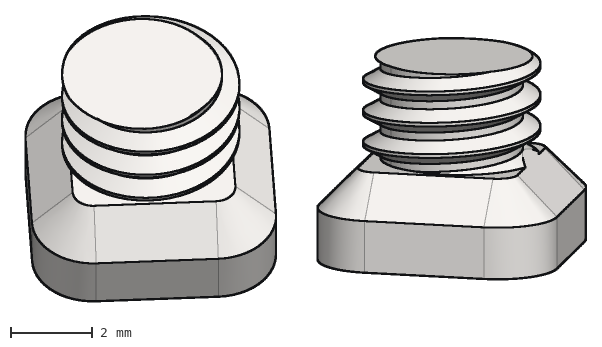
import cadquery as cq
import math

base_width = 7.23
corner_radius = 1.5
wall_height = 1.3
chamfer = 1.0
top_z = wall_height + chamfer
half_side = (base_width / 2 - corner_radius) / math.sqrt(2) + corner_radius
top_half_side = half_side - chamfer

total_height = 4.8
core_radius = 3.5 / 2
crest_radius = 2.175
pitch = 0.79
crest_width = 0.095
flank_angle = math.radians(30)
root_overlap = 0.07
thread_start_z = 1.945
turns = math.ceil((total_height + pitch / 2 - thread_start_z) / pitch)

trim_height = 0.245
trim_length = 2.1
trim_reach = 0.72


def make_base():
    return (
        cq.Workplane("XY")
        .rect(2 * half_side, 2 * half_side)
        .extrude(top_z)
        .edges("|Z")
        .fillet(corner_radius)
        .faces(">Z")
        .chamfer(chamfer)
        .rotate((0, 0, 0), (0, 0, 1), 45)
    )


def make_ridge():
    inner_radius = core_radius - root_overlap
    crest_half = crest_width / 2
    root_half = crest_half + (crest_radius - inner_radius) * math.tan(flank_angle)
    path = cq.Wire.makeHelix(pitch, turns * pitch, core_radius)
    return (
        cq.Workplane("XZ")
        .moveTo(inner_radius, -root_half)
        .lineTo(crest_radius, -crest_half)
        .lineTo(crest_radius, crest_half)
        .lineTo(inner_radius, root_half)
        .close()
        .sweep(cq.Workplane(path), isFrenet=True)
        .translate((0, 0, thread_start_z))
    )


def make_trim():
    outer = top_half_side + trim_reach
    return (
        cq.Workplane("YZ")
        .moveTo(outer, top_z - trim_reach)
        .lineTo(outer, top_z + trim_height)
        .lineTo(top_half_side - trim_height, top_z + trim_height)
        .close()
        .extrude(trim_length / 2, both=True)
        .rotate((0, 0, 0), (0, 0, 1), 45)
    )


def make_stud():
    core = cq.Workplane("XY").circle(core_radius).extrude(total_height + 3 * pitch)
    envelope = cq.Workplane("XY").rect(base_width, base_width).extrude(total_height)
    return core.union(make_ridge(), clean=False).intersect(envelope, clean=False).cut(make_trim())


result = make_base().union(make_stud())